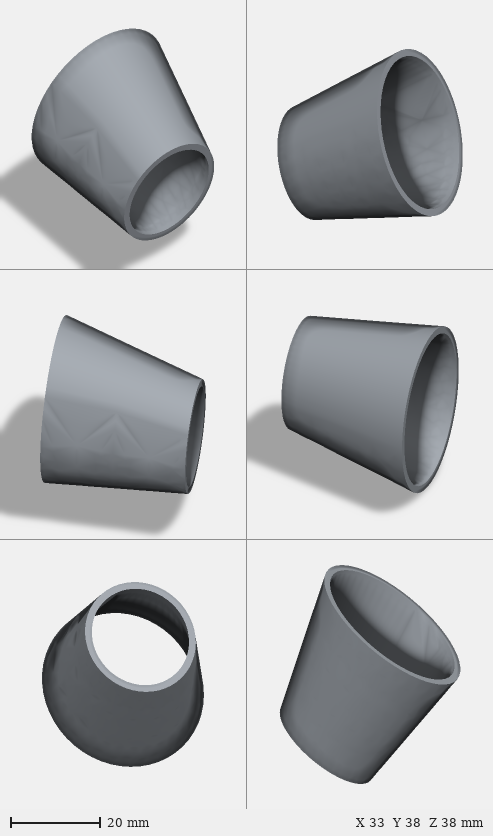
import cadquery as cq

length = 33.0
large_diameter = 38.0
small_diameter = 26.0
wall = 1.6

offset = (small_diameter - large_diameter) / 2


def eccentric_cone(large_end, small_end):
    """Solid loft from the large circle at X = 0 to the shifted small circle."""
    return (
        cq.Workplane("YZ")
        .circle(large_end / 2)
        .workplane(offset=length)
        .center(offset, 0)
        .circle(small_end / 2)
        .loft(ruled=True)
    )


outer = eccentric_cone(large_diameter, small_diameter)
bore = eccentric_cone(large_diameter - 2 * wall, small_diameter - 2 * wall)

result = outer.cut(bore)